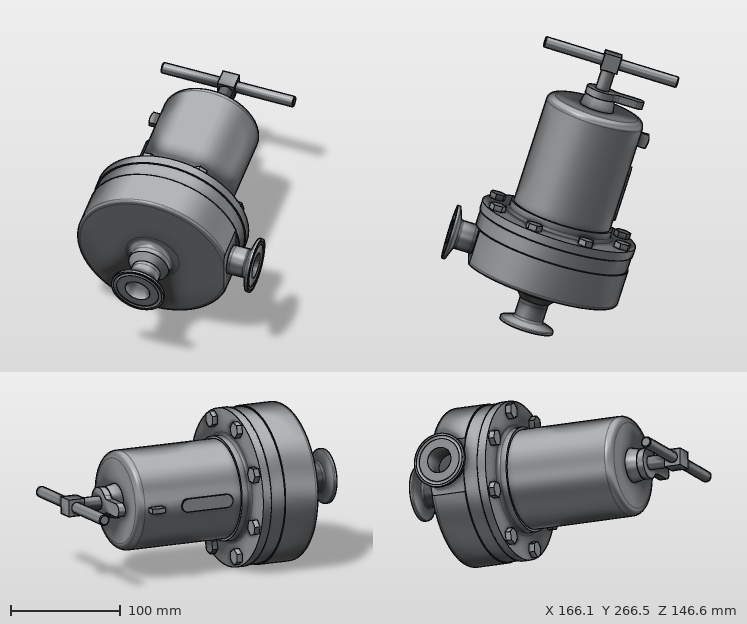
import cadquery as cq
import math

OVERALL_LENGTH = 266.45
SIDE_PORT_REACH = 92.84

TUBE_RADIUS = 13.45
BORE_RADIUS = 11.85
FERRULE_RADIUS = 25.25
FERRULE_LENGTH = 21.5
RIM_THICKNESS = 2.85
RIM_BACK_ANGLE = 20.0
RIM_NECK_FILLET = 2.4
RIM_EDGE_FILLET = 1.0
GASKET_GROOVE_RADIUS = 21.75
GASKET_GROOVE_HALF_WIDTH = 1.55
GASKET_GROOVE_DEPTH = 1.2

STEM_CONE_START = 25.0
STEM_CONE_END = 31.5
STEM_BOSS_RADIUS = 19.2
STEM_BASE_FILLET = 6.5

BODY_RADIUS = 73.28
BODY_FRONT = 43.0
BODY_BACK = 77.4
BODY_FILLET = 3.3
SIDE_FLAT_X = 68.7
RING_RADIUS = 72.4
RING_BACK = 92.0
RING_CHAMFER = 0.5
FLANGE_BACK = 100.4
SIDE_PORT_Y = 63.1

BOLT_COUNT = 8
BOLT_CIRCLE_RADIUS = 64.4
BOLT_HEAD_WIDTH = 13.0
BOLT_HEAD_HEIGHT = 5.4

COLLAR_RADIUS = 48.3
COLLAR_BACK = 109.3
COLLAR_FILLET = 2.9
BONNET_RADIUS = 46.0
BONNET_BACK = 214.4
BONNET_FILLET = 6.5

NECK_BASE_RADIUS = 16.1
NECK_TOP_RADIUS = 13.6
LEVER_DISC_RADIUS = 14.2
NECK_BACK = 225.0
LEVER_THICKNESS = 6.8
LEVER_REACH = 40.1
LEVER_HALF_WIDTH = 6.2
LEVER_ROOT_FILLET = 6.8

SPINDLE_RADIUS = 6.3
BLOCK_WIDTH = 15.8
HANDLE_RADIUS = 5.0
HANDLE_LENGTH = 127.3
HANDLE_CHAMFER = 0.9

TAB_REACH = 54.8
TAB_Y = 197.5
TAB_LENGTH = 13.0
TAB_THICKNESS = 4.5
TAB_END_BULGE = 1.2
PLATE_REACH = 47.6
PLATE_Y = 144.3
PLATE_LENGTH = 52.0
PLATE_WIDTH = 12.4


def cylinder(radius, start, end):
    """Cylinder along +Y between two stations."""
    return cq.Workplane("XZ", origin=(0, start, 0)).circle(radius).extrude(start - end)


def revolve_about_y(profile):
    return profile.close().revolve(360, (0, 0, 0), (0, 1, 0))


def ferrule(tube_end):
    """Solid clamp ferrule with its face at Y = 0 and its tube running to tube_end."""
    angle = math.radians(RIM_BACK_ANGLE)
    slope_end = RIM_THICKNESS + (FERRULE_RADIUS - TUBE_RADIUS) * math.tan(angle)
    turn = math.pi / 2 - angle
    tangent_length = RIM_NECK_FILLET * math.tan(turn / 2)
    cone_foot = (TUBE_RADIUS + tangent_length * math.cos(angle), slope_end - tangent_length * math.sin(angle))
    neck_start = slope_end + tangent_length
    arc_middle = (
        TUBE_RADIUS + RIM_NECK_FILLET * (1 - math.cos(turn / 2)),
        neck_start - RIM_NECK_FILLET * math.sin(turn / 2),
    )
    profile = (
        cq.Workplane("XY")
        .lineTo(FERRULE_RADIUS, 0)
        .lineTo(FERRULE_RADIUS, RIM_THICKNESS)
        .lineTo(*cone_foot)
        .threePointArc(arc_middle, (TUBE_RADIUS, neck_start))
        .lineTo(TUBE_RADIUS, FERRULE_LENGTH)
        .lineTo(0, FERRULE_LENGTH)
    )
    rim_edge = cq.selectors.NearestToPointSelector((0, RIM_THICKNESS, 0))
    solid = revolve_about_y(profile).edges("%CIRCLE").edges(rim_edge).fillet(RIM_EDGE_FILLET)
    return solid.union(cylinder(TUBE_RADIUS, FERRULE_LENGTH, tube_end), clean=False)


def gasket_groove():
    """Ring of circular-arc section sunk into the ferrule face."""
    profile = (
        cq.Workplane("XY")
        .moveTo(GASKET_GROOVE_RADIUS - GASKET_GROOVE_HALF_WIDTH, 0)
        .threePointArc(
            (GASKET_GROOVE_RADIUS, GASKET_GROOVE_DEPTH),
            (GASKET_GROOVE_RADIUS + GASKET_GROOVE_HALF_WIDTH, 0),
        )
    )
    return revolve_about_y(profile)


def port(tube_end):
    """Ferrule bored along the full length of its tube, with a gasket groove in its face."""
    bore = cylinder(BORE_RADIUS, 0, tube_end)
    return ferrule(tube_end).cut(bore, clean=False).cut(gasket_groove(), clean=False)


def inlet_stem():
    """Boss that widens from the tube and flares out where it meets the body."""
    r = STEM_BASE_FILLET
    flare_middle = (
        STEM_BOSS_RADIUS + r * (1 - math.sqrt(0.5)),
        BODY_FRONT - r * (1 - math.sqrt(0.5)),
    )
    profile = (
        cq.Workplane("XY")
        .moveTo(BORE_RADIUS, STEM_CONE_START)
        .lineTo(TUBE_RADIUS, STEM_CONE_START)
        .lineTo(STEM_BOSS_RADIUS, STEM_CONE_END)
        .lineTo(STEM_BOSS_RADIUS, BODY_FRONT - r)
        .threePointArc(flare_middle, (STEM_BOSS_RADIUS + r, BODY_FRONT))
        .lineTo(BORE_RADIUS, BODY_FRONT)
    )
    return revolve_about_y(profile)


def body():
    """Round body with a rounded front edge and one flat for the side port."""
    disc = cylinder(BODY_RADIUS, BODY_FRONT, BODY_BACK).faces("<Y").edges().fillet(BODY_FILLET)
    beyond_flat = cq.Workplane("XY").box(
        BODY_RADIUS, OVERALL_LENGTH, 2 * BODY_RADIUS, centered=(False, False, True)
    )
    return disc.cut(beyond_flat.translate((SIDE_FLAT_X, 0, 0)))


def cover():
    """Gasket ring with chamfered edges, and cover flange."""
    ring = cylinder(RING_RADIUS, BODY_BACK, RING_BACK).edges().chamfer(RING_CHAMFER)
    return ring.union(cylinder(BODY_RADIUS, RING_BACK, FLANGE_BACK))


def bolt_heads():
    """Hexagon heads in a polar pattern, placed half a pitch off the X and Z axes."""
    head = (
        cq.Workplane("XZ", origin=(0, FLANGE_BACK, 0))
        .polygon(6, BOLT_HEAD_WIDTH / math.cos(math.pi / 6))
        .extrude(-BOLT_HEAD_HEIGHT)
    )
    pitch = 360 / BOLT_COUNT
    heads = cq.Workplane("XY")
    for index in range(BOLT_COUNT):
        turned = head.rotate((0, 0, 0), (0, 1, 0), -pitch / 2)
        placed = turned.translate((BOLT_CIRCLE_RADIUS, 0, 0))
        heads = heads.add(placed.rotate((0, 0, 0), (0, 1, 0), (index + 0.5) * pitch))
    return heads.combine()


def bonnet():
    """Collar flared at its foot, and the spring housing with a rounded end."""
    r = COLLAR_FILLET
    flare_middle = (
        COLLAR_RADIUS + r * (1 - math.sqrt(0.5)),
        FLANGE_BACK + r * (1 - math.sqrt(0.5)),
    )
    collar_profile = (
        cq.Workplane("XY")
        .moveTo(0, FLANGE_BACK)
        .lineTo(COLLAR_RADIUS + r, FLANGE_BACK)
        .threePointArc(flare_middle, (COLLAR_RADIUS, FLANGE_BACK + r))
        .lineTo(COLLAR_RADIUS, COLLAR_BACK)
        .lineTo(0, COLLAR_BACK)
    )
    housing = cylinder(BONNET_RADIUS, COLLAR_BACK, BONNET_BACK).faces(">Y").edges().fillet(BONNET_FILLET)
    return revolve_about_y(collar_profile).union(housing)


def neck():
    """Tapered neck behind the bonnet."""
    profile = (
        cq.Workplane("XY")
        .moveTo(0, BONNET_BACK)
        .lineTo(NECK_BASE_RADIUS, BONNET_BACK)
        .lineTo(NECK_TOP_RADIUS, NECK_BACK)
        .lineTo(0, NECK_BACK)
    )
    return revolve_about_y(profile)


def lever():
    """Disc with a round-ended arm toward -X, blended into the disc by two root fillets."""
    fillet_z = LEVER_HALF_WIDTH + LEVER_ROOT_FILLET
    fillet_distance = LEVER_DISC_RADIUS + LEVER_ROOT_FILLET
    fillet_x = -math.sqrt(fillet_distance**2 - fillet_z**2)
    end_x = LEVER_HALF_WIDTH - LEVER_REACH
    plane = cq.Workplane("XZ", origin=(0, NECK_BACK, 0))
    disc = plane.circle(LEVER_DISC_RADIUS).extrude(-LEVER_THICKNESS)
    arm = (
        plane.moveTo(0, LEVER_HALF_WIDTH)
        .lineTo(end_x, LEVER_HALF_WIDTH)
        .threePointArc((-LEVER_REACH, 0), (end_x, -LEVER_HALF_WIDTH))
        .lineTo(0, -LEVER_HALF_WIDTH)
        .close()
        .extrude(-LEVER_THICKNESS)
    )
    root = (
        plane.moveTo(0, 0)
        .lineTo(fillet_x, fillet_z)
        .lineTo(fillet_x, -fillet_z)
        .close()
        .extrude(-LEVER_THICKNESS)
    )
    hollows = (
        plane.pushPoints([(fillet_x, fillet_z), (fillet_x, -fillet_z)])
        .circle(LEVER_ROOT_FILLET)
        .extrude(-LEVER_THICKNESS)
    )
    return disc.union(arm).union(root.cut(hollows))


def tee_handle():
    """Spindle, square block and cross bar."""
    block_y = OVERALL_LENGTH - BLOCK_WIDTH / 2
    spindle = cylinder(SPINDLE_RADIUS, NECK_BACK, block_y)
    block = cq.Workplane("XY").box(BLOCK_WIDTH, BLOCK_WIDTH, BLOCK_WIDTH).translate((0, block_y, 0))
    bar = (
        cq.Workplane("YZ", origin=(-HANDLE_LENGTH / 2, block_y, 0))
        .circle(HANDLE_RADIUS)
        .extrude(HANDLE_LENGTH)
        .faces("<X or >X")
        .edges()
        .chamfer(HANDLE_CHAMFER)
    )
    return spindle.union(block).union(bar)


def tab():
    """Flat tab with a bowed outer end."""
    corner_x = TAB_END_BULGE - TAB_REACH
    half_length = TAB_LENGTH / 2
    return (
        cq.Workplane("XY", origin=(0, TAB_Y, 0))
        .moveTo(0, half_length)
        .lineTo(corner_x, half_length)
        .threePointArc((-TAB_REACH, 0), (corner_x, -half_length))
        .lineTo(0, -half_length)
        .close()
        .extrude(TAB_THICKNESS / 2, both=True)
    )


def name_plate():
    """Round-ended raised plate along the bonnet."""
    return (
        cq.Workplane("YZ", origin=(-PLATE_REACH, PLATE_Y, 0))
        .slot2D(PLATE_LENGTH, PLATE_WIDTH)
        .extrude(PLATE_REACH)
    )


inlet = port(BODY_FRONT).union(inlet_stem(), clean=False)
side_port = (
    port(SIDE_PORT_REACH - SIDE_FLAT_X)
    .rotate((0, 0, 0), (0, 0, 1), 90)
    .translate((SIDE_PORT_REACH, SIDE_PORT_Y, 0))
)

result = body()
for piece in (
    inlet,
    side_port,
    cover(),
    bonnet(),
    bolt_heads(),
    neck(),
    lever(),
    tee_handle(),
    tab(),
    name_plate(),
):
    result = result.union(piece, clean=False)